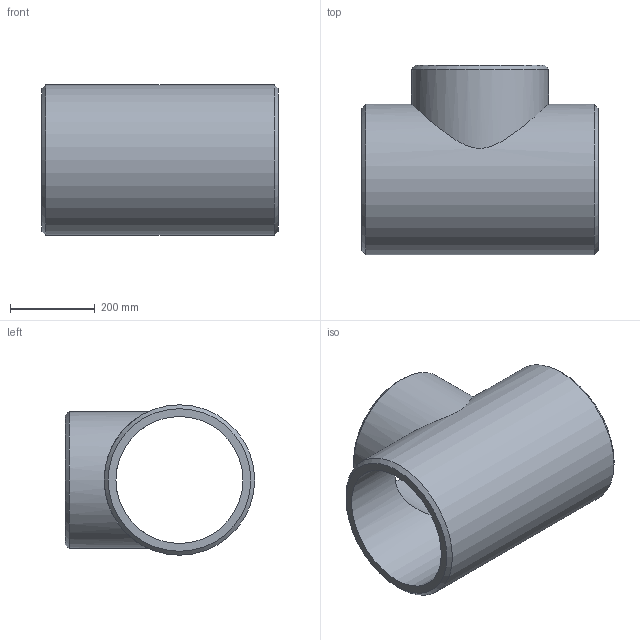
import cadquery as cq

run_diameter = 355.6
run_length = 558.8
run_wall = 27.8
branch_diameter = 323.85
branch_reach = 269.75
branch_wall = 28.1

run_bore = run_diameter - 2 * run_wall
branch_bore = branch_diameter - 2 * branch_wall

bevel = run_wall / 3


def run_cylinder(diameter):
    """Cylinder along X, centred on the origin."""
    return cq.Workplane("YZ").circle(diameter / 2).extrude(run_length / 2, both=True)


def branch_cylinder(diameter):
    """Cylinder from the run axis out to the branch end face at +Y."""
    return cq.Workplane("XZ").circle(diameter / 2).extrude(-branch_reach)


run_body = run_cylinder(run_diameter).faces("<X or >X").edges().chamfer(bevel)
branch_body = branch_cylinder(branch_diameter).faces(">Y").edges().chamfer(bevel)

result = (
    run_body.union(branch_body)
    .cut(run_cylinder(run_bore))
    .cut(branch_cylinder(branch_bore))
)